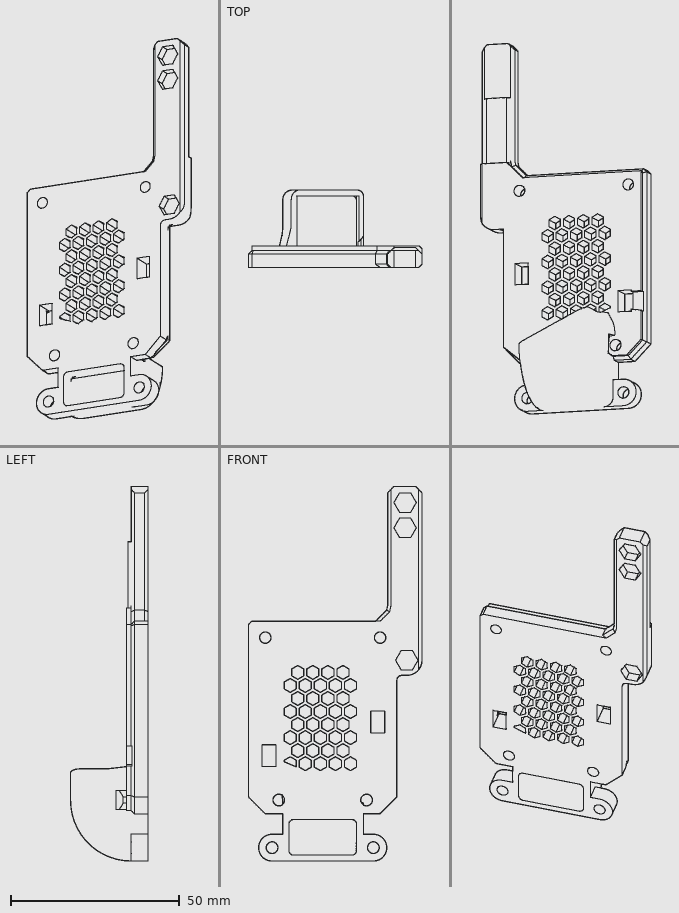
import cadquery as cq
import math


plate_width = 44.0
plate_bottom = 14.0
plate_top = 71.1
base_depth = 5.0
lip_depth = 6.4
back_bevel = 1.0
bottom_corner = 5.0
top_corner = 1.0

total_height = 111.0
arm_right = 51.43
arm_left = 41.2
arm_round = 4.5
arm_bevel = 1.0
arm_top_corner = 1.9
brace_left = 37.65
brace_height = 3.25
knee_top = 75.7
root_fillet = 1.5
arm_bottom = 55.0
pad_depth = 6.0
pad_top = 94.6
pad_bottom = 75.0
lip_right_bevel = 0.8
lip_knee = (1.2, 1.0)

ear_height = 8.0
ear_hole_spacing = 30.0
ear_hole_diameter = 3.4
neck_left = 10.15
neck_right = 34.15
center_x = plate_width / 2

upper_hole_x = (5.0, 39.0)
upper_hole_z = 66.2
upper_hole_diameter = 3.3
lower_hole_x = (9.0, 35.0)
lower_hole_z = 18.1
lower_hole_diameter = 3.4
slot_size = (4.1, 6.4)
slot_centers = ((6.1, 31.25), (38.3, 41.2))
strap_depth = 1.6
strap_height = 5.6
strap_ramp = 0.6

nut_flats = 5.75
front_nut_depth = 3.0
front_nut_centers = ((46.4, 106.2), (46.4, 98.7), (46.9, 59.5))
back_nut_depth = 3.1
nut_skin = 0.2
nut_stop_y = 7.4
nut_stop_radius = 6.0

vent_flats = 3.5
vent_pitch = 4.46
vent_rows = 8
vent_top_z = 55.9
vent_center_x = 21.3
long_row = 5

duct_depth = 23.0
bend_radius = duct_depth - base_depth
duct_wall = 1.75
duct_round = 2.9
right_round = 2.0
lean_angle = math.radians(25.5)
lean_axis = neck_left + 18.0
collar_length = 1.8
flare_y = 12.0
flare_shift = 1.4
cavity_left = 12.0
cavity_right = 32.0
cavity_round = 1.4
window_top = 12.3
outlet_right = 32.8
relief_bottom = 15.5
relief_top = 17.6


def upright(y):
    """Workplane parallel to XZ at the given Y; it extrudes toward -Y."""
    return cq.Workplane("XZ", origin=(0, y, 0))


def prism(points, y_start, y_end):
    """Polygon in X and Z, extruded between two Y positions."""
    return upright(y_start).polyline(points).close().extrude(y_start - y_end)


def block(x0, x1, y0, y1, z0, z1):
    """Box between two positions along each axis."""
    return cq.Workplane("XY").box(x1 - x0, y1 - y0, z1 - z0, centered=False).translate((x0, y0, z0))


def hexagon(x, z, flats, y_start, y_end, turn=0):
    """Hexagonal prism along Y; with no turn two corners point along X."""
    radius = flats / math.sqrt(3)
    angles = [math.radians(turn) + i * math.pi / 3 for i in range(6)]
    points = [(x + radius * math.cos(a), z + radius * math.sin(a)) for a in angles]
    return prism(points, y_start, y_end)


def round_hole(x, z, diameter, y_end):
    """Cylinder along Y from the front face to y_end."""
    return upright(0).center(x, z).circle(diameter / 2).extrude(-y_end)


def bevel_edges(body, size, middles):
    """Chamfer the edges whose midpoints are nearest to the given points."""
    edges = [body.edges(cq.NearestToPointSelector(p)).val() for p in middles]
    return body.newObject(edges).chamfer(size)


def make_base():
    """Plate and arm in one outline, with bevelled long edges."""
    brace_top = plate_top + brace_height
    brace_right = brace_left + brace_height
    base = (
        upright(0)
        .moveTo(bottom_corner, plate_bottom)
        .lineTo(0, plate_bottom + bottom_corner)
        .lineTo(0, plate_top - top_corner)
        .lineTo(top_corner, plate_top)
        .lineTo(brace_left, plate_top)
        .lineTo(brace_right, brace_top)
        .lineTo(arm_left, knee_top)
        .lineTo(arm_left, total_height - arm_top_corner)
        .lineTo(arm_left + arm_top_corner, total_height)
        .lineTo(arm_right - arm_top_corner, total_height)
        .lineTo(arm_right, total_height - arm_top_corner)
        .lineTo(arm_right, arm_bottom + arm_round)
        .radiusArc((arm_right - arm_round, arm_bottom), arm_round)
        .lineTo(plate_width + root_fillet, arm_bottom)
        .radiusArc((plate_width, arm_bottom - root_fillet), -root_fillet)
        .lineTo(plate_width, plate_bottom + bottom_corner)
        .lineTo(plate_width - bottom_corner, plate_bottom)
        .close()
        .extrude(-base_depth)
    )
    plate_mid = (plate_bottom + plate_top) / 2
    arm_mid = (knee_top + total_height - arm_top_corner) / 2
    brace_mid = ((brace_left + brace_right) / 2, (plate_top + brace_top) / 2)
    knee_mid = ((brace_right + arm_left) / 2, (brace_top + knee_top) / 2)
    corner_mid = plate_bottom + bottom_corner / 2
    back_middles = [
        (0, base_depth, plate_mid),
        (top_corner / 2, base_depth, plate_top - top_corner / 2),
        (brace_left / 2, base_depth, plate_top),
        (brace_mid[0], base_depth, brace_mid[1]),
        (knee_mid[0], base_depth, knee_mid[1]),
        (arm_left, base_depth, arm_mid),
        (bottom_corner / 2, base_depth, corner_mid),
        (plate_width / 2, base_depth, plate_bottom),
        (plate_width - bottom_corner / 2, base_depth, corner_mid),
    ]
    base = bevel_edges(base, back_bevel, back_middles)
    front_middles = [
        (brace_mid[0], 0, brace_mid[1]),
        (knee_mid[0], 0, knee_mid[1]),
        (arm_left, 0, arm_mid),
    ]
    return bevel_edges(base, arm_bevel, front_middles)


def make_lip():
    """Raised back of the plate, set in by the back bevel and reaching up to the arm."""
    inset = back_bevel
    slant = inset * math.tan(math.pi / 8)
    low = plate_bottom + inset
    high = plate_top - inset
    start_x = brace_left + slant
    knee_run, knee_rise = lip_knee
    knee_z = pad_bottom - knee_rise
    knee_x = start_x + knee_z - high
    return (
        upright(base_depth)
        .moveTo(bottom_corner + slant, low)
        .lineTo(inset, plate_bottom + bottom_corner + slant)
        .lineTo(inset, high)
        .lineTo(start_x, high)
        .lineTo(knee_x, knee_z)
        .lineTo(knee_x + knee_run, pad_bottom)
        .lineTo(arm_right, pad_bottom)
        .lineTo(arm_right, arm_bottom + arm_round)
        .radiusArc((arm_right - arm_round, arm_bottom), arm_round)
        .lineTo(plate_width, arm_bottom)
        .lineTo(plate_width, plate_bottom + bottom_corner + slant)
        .lineTo(plate_width - bottom_corner - slant, low)
        .close()
        .extrude(base_depth - lip_depth)
    )


def make_pad():
    """Thickened back of the lower arm, continuing the left back bevel."""
    left = arm_left + back_bevel
    points = [
        (left, base_depth),
        (left + pad_depth - base_depth, pad_depth),
        (arm_right, pad_depth),
        (arm_right, base_depth),
    ]
    return (
        cq.Workplane("XY", origin=(0, 0, pad_bottom)).polyline(points).close().extrude(pad_top - pad_bottom)
    )


def arm_right_bevel(y_face, y_side, x_face, z_start):
    """Wedge that bevels the right side of the arm from z_start up."""
    points = [(x_face, y_face), (arm_right, y_face), (arm_right, y_side)]
    return cq.Workplane("XY", origin=(0, 0, z_start)).polyline(points).close().extrude(total_height - z_start)


def make_ears():
    """Neck below the plate and the rounded foot with two screw ears."""
    length = ear_hole_spacing + ear_height
    foot = upright(0).center(center_x, ear_height / 2).slot2D(length, ear_height).extrude(-base_depth)
    neck = block(neck_left, neck_right, 0, base_depth, 0, plate_bottom + back_bevel)
    return foot.union(neck)


def bend(x0, x1, radius, y_front, left_round, right_side_round):
    """Quarter bend from facing -Y to facing +Z, with rounded outer edges, starting at y_front."""
    y_end = base_depth + radius
    middle = radius * math.sqrt(0.5)
    shape = (
        cq.Workplane("YZ", origin=(x0, 0, 0))
        .moveTo(0, bend_radius)
        .lineTo(0, bend_radius - radius)
        .lineTo(base_depth, bend_radius - radius)
        .threePointArc((base_depth + middle, bend_radius - middle), (y_end, bend_radius))
        .close()
        .extrude(x1 - x0)
    )
    for x, size in ((x0, left_round), (x1, right_side_round)):
        edge = cq.NearestToPointSelector((x, base_depth + middle, bend_radius - middle))
        shape = shape.edges(edge).fillet(size)
    return shape.intersect(block(x0, x1, y_front, y_end, 0, bend_radius))


def lean_point(wall_x, angle, straight=0):
    """Point in X and Z on a left wall that bends about the lean axis and then runs straight."""
    radius = lean_axis - wall_x
    x = lean_axis - radius * math.cos(angle) + straight * math.sin(angle)
    z = bend_radius + radius * math.sin(angle) + straight * math.cos(angle)
    return x, z


def lean_profile(y, shift=0):
    """Upper duct outline at the given Y; the shift moves its left wall outward along the slanted rim."""

    def shifted(point, amount):
        return point[0] - amount, point[1] + amount * math.tan(lean_angle)

    middle = shifted(lean_point(neck_left, lean_angle / 2), shift)
    end = shifted(lean_point(neck_left, lean_angle), shift)
    tip = shifted(lean_point(neck_left, lean_angle, collar_length), shift)
    return (
        upright(y)
        .moveTo(neck_left, bend_radius)
        .threePointArc(middle, end)
        .lineTo(*tip)
        .lineTo(neck_right, tip[1])
        .lineTo(neck_right, bend_radius)
        .close()
    )


def make_duct():
    """Elbow behind the plate; its left wall leans in, flares toward the plate and ends in a slanted rim."""
    lower = bend(neck_left, neck_right, bend_radius, base_depth, duct_round, right_round)
    upper = lean_profile(duct_depth).extrude(duct_depth - flare_y)
    middle = lean_point(neck_left, lean_angle / 2)
    collar = lean_point(neck_left, lean_angle, collar_length / 2)
    left_edges = [
        upper.edges(cq.NearestToPointSelector((x, duct_depth, z))).val() for x, z in (middle, collar)
    ]
    right_edge = upper.edges(cq.NearestToPointSelector((neck_right, duct_depth, middle[1]))).val()
    upper = upper.newObject([right_edge]).fillet(right_round)
    upper = upper.newObject(left_edges).fillet(duct_round)
    plate_wire = lean_profile(lip_depth, flare_shift).val()
    wall_wire = lean_profile(flare_y).val()
    flare = cq.Workplane(cq.Solid.makeLoft([plate_wire, wall_wire], True))
    rim_x, rim_z = lean_point(neck_left, lean_angle, collar_length)
    slope = math.tan(lean_angle)
    rim_start = rim_z + rim_x * slope
    rim_end = rim_start - plate_width * slope
    above_rim = prism(
        [(0, rim_start), (plate_width, rim_end), (plate_width, rim_start)], lip_depth, duct_depth
    )
    return lower.union(upper).union(flare).cut(above_rim)


def make_cavity():
    """Air path: front window, bend and an outlet that follows the leaning left wall."""
    inner_radius = bend_radius - duct_wall
    y_back = base_depth + inner_radius
    window = block(cavity_left, cavity_right, 0, base_depth, duct_wall, window_top)
    window = window.edges("|Y").fillet(cavity_round)
    elbow = bend(cavity_left, cavity_right, inner_radius, base_depth, cavity_round, cavity_round)
    plate_back = block(cavity_left, cavity_right, base_depth, lip_depth, window_top, bend_radius)
    elbow = elbow.cut(plate_back)
    top = lean_point(cavity_left, lean_angle, duct_depth)
    outlet = (
        upright(y_back)
        .moveTo(cavity_left, bend_radius)
        .threePointArc(lean_point(cavity_left, lean_angle / 2), lean_point(cavity_left, lean_angle))
        .lineTo(*top)
        .lineTo(outlet_right, top[1])
        .lineTo(outlet_right, relief_top)
        .lineTo(cavity_right, relief_bottom)
        .lineTo(cavity_right, bend_radius)
        .close()
        .extrude(y_back - lip_depth)
    )
    return window.union(elbow).union(outlet)


def vent_cover(x, z):
    """Solid below a line that slants across one vent from its left wall to its lower right corner."""
    half = vent_flats / 2
    low = z - vent_flats
    points = [(x - half, z + half / 3), (x + half, z - half / 2), (x + half, low), (x - half, low)]
    return prism(points, 0, lip_depth)


def cut_vents(body):
    """Staggered grid of hexagonal air holes; the lowest left one is half closed."""
    row_step = vent_pitch * math.sqrt(3) / 2
    for row in range(vent_rows):
        count = long_row if row % 2 else long_row - 1
        z = vent_top_z - row * row_step
        for column in range(count):
            x = vent_center_x + (column - (count - 1) / 2) * vent_pitch
            vent = hexagon(x, z, vent_flats, 0, lip_depth, turn=30)
            if row == vent_rows - 1 and column == 0:
                vent = vent.cut(vent_cover(x, z))
            body = body.cut(vent)
    return body


def nut_stop():
    """Limit of the nut pockets toward the air path, with a curved flank on each side."""
    y_end = lip_depth + back_nut_depth
    left = cavity_left - nut_skin
    right = cavity_right + nut_skin
    return (
        cq.Workplane("XY")
        .moveTo(left, lip_depth)
        .lineTo(left, nut_stop_y)
        .radiusArc((neck_left, y_end), nut_stop_radius)
        .lineTo(neck_right, y_end)
        .radiusArc((right, nut_stop_y), nut_stop_radius)
        .lineTo(right, lip_depth)
        .close()
        .extrude(bend_radius + nut_flats)
    )


def cut_holes(body):
    """Screw holes, strap slots and nut pockets."""
    for x in upper_hole_x:
        body = body.cut(round_hole(x, upper_hole_z, upper_hole_diameter, lip_depth))
    for side in (-1, 1):
        x = center_x + side * ear_hole_spacing / 2
        body = body.cut(round_hole(x, ear_height / 2, ear_hole_diameter, base_depth))
    pocket_end = lip_depth + back_nut_depth
    for x in lower_hole_x:
        body = body.cut(round_hole(x, lower_hole_z, lower_hole_diameter, lip_depth))
        pocket = hexagon(x, lower_hole_z, nut_flats, lip_depth, pocket_end)
        body = body.cut(pocket.cut(nut_stop()))
    width, height = slot_size
    for x, z in slot_centers:
        body = body.cut(block(x - width / 2, x + width / 2, 0, lip_depth, z - height / 2, z + height / 2))
    x, z = slot_centers[0]
    slot_left = x - width / 2
    low = z - height / 2
    high = z + strap_height / 2
    strap = prism(
        [(0, low), (slot_left, low + strap_ramp), (slot_left, high), (0, high)],
        lip_depth - strap_depth,
        lip_depth,
    )
    body = body.cut(strap)
    for x, z in front_nut_centers:
        body = body.cut(hexagon(x, z, nut_flats, 0, front_nut_depth))
    return body


front_bevel = arm_right_bevel(0, arm_bevel, arm_right - arm_bevel, arm_bottom)
rear_bevel = arm_right_bevel(pad_depth, base_depth - back_bevel, arm_right - 2 * back_bevel, pad_bottom)
lip_bevel = arm_right_bevel(
    lip_depth, lip_depth - lip_right_bevel, arm_right - lip_right_bevel, arm_bottom
)

result = make_base().union(make_lip()).union(make_pad())
result = result.cut(front_bevel).cut(rear_bevel).cut(lip_bevel)
result = result.union(make_ears()).union(make_duct()).cut(make_cavity())
result = cut_holes(cut_vents(result))